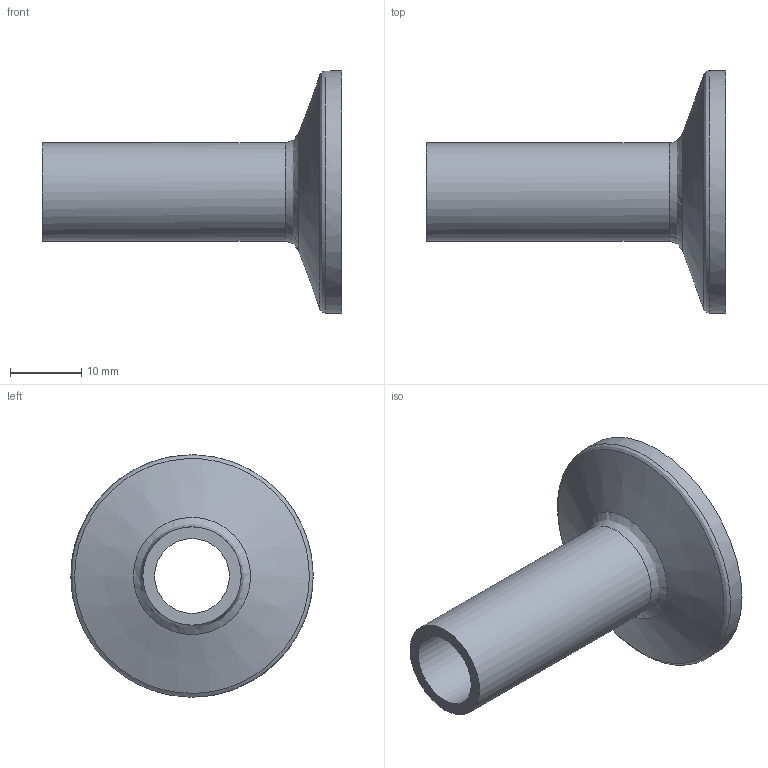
import cadquery as cq
import math

total_length = 42.0
tube_diameter = 13.8
bore_diameter = 10.5
flange_diameter = 34.0
rim_thickness = 2.85
cone_angle = 20.0
neck_fillet_radius = 2.0
rim_fillet_radius = 0.8

tube_radius = tube_diameter / 2
flange_radius = flange_diameter / 2
bore_radius = bore_diameter / 2

rim_start = total_length - rim_thickness
cone_length = (flange_radius - tube_radius) * math.tan(math.radians(cone_angle))
neck_start = rim_start - cone_length


def turned_body():
    """Revolve the half section between the bore and the outside."""
    half_section = (
        cq.Workplane("XY")
        .moveTo(0, bore_radius)
        .lineTo(0, tube_radius)
        .lineTo(neck_start, tube_radius)
        .lineTo(rim_start, flange_radius)
        .lineTo(total_length, flange_radius)
        .lineTo(total_length, bore_radius)
        .close()
    )
    return half_section.revolve(360, (0, 0, 0), (1, 0, 0))


def round_circle(body, axial_position, fillet_radius):
    """Fillet the circular edge centred at a position along the axis."""
    circle_center = (axial_position, 0, 0)
    nearest_circle = cq.selectors.NearestToPointSelector(circle_center)
    return body.edges("%CIRCLE").edges(nearest_circle).fillet(fillet_radius)


result = turned_body()
result = round_circle(result, neck_start, neck_fillet_radius)
result = round_circle(result, rim_start, rim_fillet_radius)